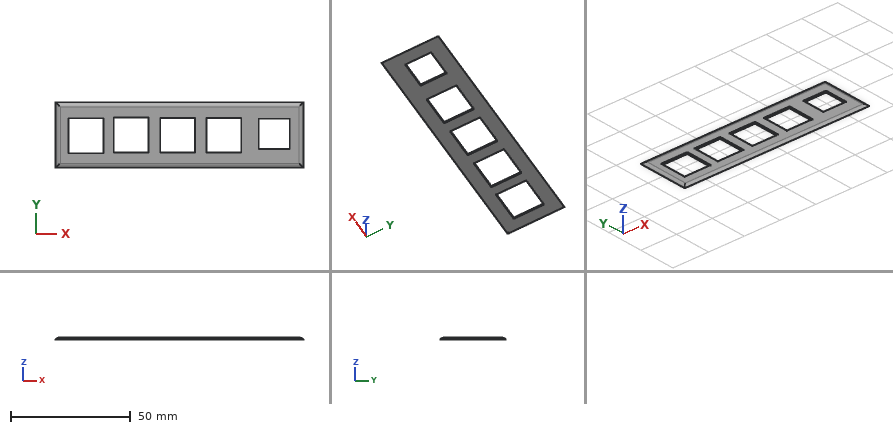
import cadquery as cq
import math

length = 103.4
width = 27.5
thickness = 1.0
border = 2.1

middle_window = 14.4
window_pitch = 19.3
middle_center_x = -0.8
left_window = 14.6
right_window_length = 12.7
right_window_width = 12.5
second_window_width = 14.6

windows = [
    (-39.0, -0.3, left_window, left_window),
    (middle_center_x - window_pitch, 0.0, middle_window, second_window_width),
    (middle_center_x, -0.1, middle_window, middle_window),
    (middle_center_x + window_pitch, -0.1, middle_window, middle_window),
    (39.5, 0.5, right_window_length, right_window_width),
]


def rounded_bar(span, depth, plane):
    """Bar with arcs along both long edges, tangent to the top face."""
    half_span = span / 2
    half_top = half_span - border
    radius = (border**2 + thickness**2) / (2 * thickness)
    half_angle = math.asin(border / radius) / 2
    arc_x = half_top + radius * math.sin(half_angle)
    arc_z = thickness - radius * (1 - math.cos(half_angle))
    return (
        cq.Workplane(plane)
        .moveTo(-half_span, 0)
        .lineTo(half_span, 0)
        .threePointArc((arc_x, arc_z), (half_top, thickness))
        .lineTo(-half_top, thickness)
        .threePointArc((-arc_x, arc_z), (-half_span, 0))
        .close()
        .extrude(depth / 2, both=True)
    )


result = rounded_bar(length, width, "XZ").intersect(rounded_bar(width, length, "YZ"))

for center_x, center_y, window_length, window_width in windows:
    opening = (
        cq.Workplane("XY")
        .center(center_x, center_y)
        .rect(window_length, window_width)
        .extrude(thickness)
    )
    result = result.cut(opening)